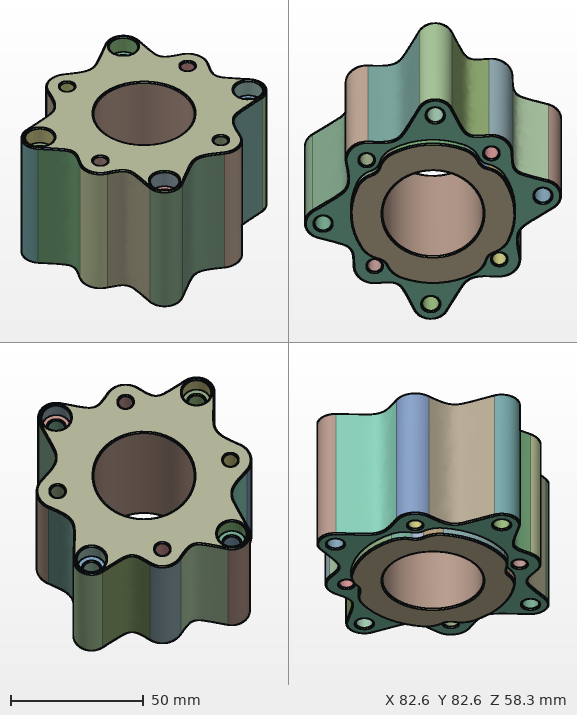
import cadquery as cq
import math

half_span = 41.3
body_height = 55.3
edge_chamfer = 0.5

corner_x = 27.0
corner_y = 32.0
corner_radius = 6.95
lobe_radius = 8.0
lobe_center = half_span - lobe_radius

x_lobe_end_angle = 52.0
x_corner_end_angle = -12.0
y_corner_end_angle = 114.0
y_lobe_end_angle = 42.0

x_lobe_lean = 13.6
x_corner_lean = 15.7
y_corner_lean = 13.0
y_lobe_lean = 9.5

bore_diameter = 38.0
lobe_hole_diameter = 5.45
bolt_hole_diameter = 6.45
counterbore_diameter = 11.0
counterbore_depth = 7.1

spigot_radius = 31.1
spigot_height = 3.0
notch_radius = 5.0
notch_blend_radius = 10.0


def polar(center, radius, angle):
    """Point on a circle at an angle in degrees."""
    turn = math.radians(angle)
    return (center[0] + radius * math.cos(turn), center[1] + radius * math.sin(turn))


def heading(angle):
    """Counter-clockwise tangent of a circle at an angle in degrees."""
    turn = math.radians(angle)
    return (-math.sin(turn), math.cos(turn))


def hollow(start, start_angle, start_lean, end, end_angle, end_lean):
    """Bezier control points after the first, tangent to the lobe arcs at both ends."""
    start_heading = heading(start_angle)
    end_heading = heading(end_angle)
    return [
        (start[0] + start_lean * start_heading[0], start[1] + start_lean * start_heading[1]),
        (end[0] - end_lean * end_heading[0], end[1] - end_lean * end_heading[1]),
        end,
    ]


def make_body():
    """Quarter of the lobed outline, extruded and mirrored across both axes."""
    x_lobe = (lobe_center, 0)
    y_lobe = (0, lobe_center)
    corner = (corner_x, corner_y)

    x_lobe_middle = polar(x_lobe, lobe_radius, x_lobe_end_angle / 2)
    x_lobe_end = polar(x_lobe, lobe_radius, x_lobe_end_angle)
    x_corner_end = polar(corner, corner_radius, x_corner_end_angle)
    corner_middle = polar(corner, corner_radius, (x_corner_end_angle + y_corner_end_angle) / 2)
    y_corner_end = polar(corner, corner_radius, y_corner_end_angle)
    y_lobe_end = polar(y_lobe, lobe_radius, y_lobe_end_angle)
    y_lobe_middle = polar(y_lobe, lobe_radius, (y_lobe_end_angle + 90) / 2)

    x_hollow = hollow(
        x_lobe_end, x_lobe_end_angle, x_lobe_lean, x_corner_end, x_corner_end_angle, x_corner_lean
    )
    y_hollow = hollow(
        y_corner_end, y_corner_end_angle, y_corner_lean, y_lobe_end, y_lobe_end_angle, y_lobe_lean
    )
    quarter = (
        cq.Workplane("XY")
        .lineTo(half_span, 0)
        .threePointArc(x_lobe_middle, x_lobe_end)
        .bezier(x_hollow, includeCurrent=True)
        .threePointArc(corner_middle, y_corner_end)
        .bezier(y_hollow, includeCurrent=True)
        .threePointArc(y_lobe_middle, (0, half_span))
        .close()
        .extrude(body_height)
    )
    half = quarter.union(quarter.mirror("YZ"))
    body = half.union(half.mirror("XZ")).clean()
    return body.faces("<Z or >Z").chamfer(edge_chamfer)


def make_spigot():
    """Disc with a shallow rounded notch at each axis, blended into its rim."""
    disc = cq.Workplane("XY").circle(spigot_radius).extrude(-spigot_height)
    notches = (
        cq.Workplane("XY")
        .polarArray(lobe_center, 0, 360, 4)
        .circle(notch_radius)
        .extrude(-spigot_height)
    )
    spigot = disc.cut(notches)
    spigot = spigot.edges("|Z").fillet(notch_blend_radius)
    return spigot.faces("<Z").chamfer(edge_chamfer)


def chamfered_hole(diameter, bottom, top):
    """Cutter for a hole on the Z axis whose bottom and top rims are chamfered."""
    radius = diameter / 2
    rim_radius = radius + edge_chamfer
    return (
        cq.Workplane("XZ")
        .moveTo(0, bottom)
        .lineTo(rim_radius, bottom)
        .lineTo(radius, bottom + edge_chamfer)
        .lineTo(radius, top - edge_chamfer)
        .lineTo(rim_radius, top)
        .lineTo(0, top)
        .close()
        .revolve(360, (0, 0), (0, 1))
    )


def counterbored_bolt_hole():
    """Cutter for a bolt hole with a flat counterbore chamfered at its mouth."""
    counterbore_floor = body_height - counterbore_depth
    counterbore_radius = counterbore_diameter / 2
    counterbore = (
        cq.Workplane("XZ")
        .moveTo(0, counterbore_floor)
        .lineTo(counterbore_radius, counterbore_floor)
        .lineTo(counterbore_radius, body_height - edge_chamfer)
        .lineTo(counterbore_radius + edge_chamfer, body_height)
        .lineTo(0, body_height)
        .close()
        .revolve(360, (0, 0), (0, 1))
    )
    shank = chamfered_hole(bolt_hole_diameter, 0, counterbore_floor)
    return counterbore.union(shank)


bore = chamfered_hole(bore_diameter, -spigot_height, body_height)
lobe_hole = chamfered_hole(lobe_hole_diameter, 0, body_height)
bolt_hole = counterbored_bolt_hole()

result = make_body().union(make_spigot()).cut(bore)

lobe_places = [(lobe_center, 0), (0, lobe_center), (-lobe_center, 0), (0, -lobe_center)]
for x, y in lobe_places:
    result = result.cut(lobe_hole.translate((x, y, 0)))

for x in (-corner_x, corner_x):
    for y in (-corner_y, corner_y):
        result = result.cut(bolt_hole.translate((x, y, 0)))